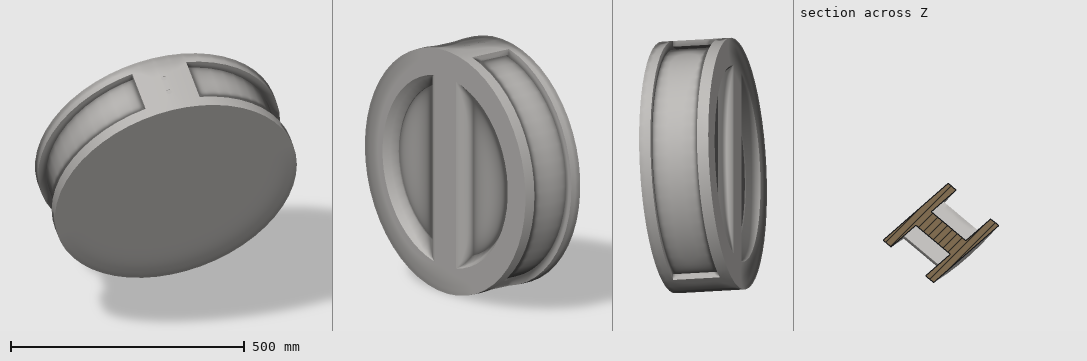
import cadquery as cq

body_diameter = 539.0
body_width = 152.0
front_x = -body_width / 2

flange_width = 25.0
groove_width = body_width - 2 * flange_width
neck_diameter = 502.5
bridge_length = 120.0
bridge_sink = 1.0
bridge_bottom = neck_diameter / 2 - bridge_sink

pocket_diameter = 420.5
pocket_floor_diameter = 375.5
pocket_depth = 29.0
pocket_step_height = 2.5
bar_top_width = 72.0
bar_base_width = 121.0
bar_flank_width = (bar_base_width - bar_top_width) / 2
bar_flank_radius = (bar_flank_width**2 + pocket_depth**2) / (2 * bar_flank_width)

pin_seat_diameter = 12.0
pin_seat_depth = 0.5
pin_seat_spacing = 40.0
pin_seat_middle_x = 5.0


def x_cylinder(diameter, length):
    """Cylinder along X, centred on the origin."""
    return cq.Workplane("YZ").circle(diameter / 2).extrude(length / 2, both=True)


def rim_groove():
    """Ring-shaped groove, interrupted above and below by the bridges."""
    ring = x_cylinder(body_diameter, groove_width).cut(x_cylinder(neck_diameter, groove_width))
    bridge_height = body_diameter / 2 - bridge_bottom
    for side in (1, -1):
        bridge_middle_z = side * (bridge_bottom + bridge_height / 2)
        bridge = cq.Workplane("XY").box(groove_width, bridge_length, bridge_height)
        ring = ring.cut(bridge.translate((0, 0, bridge_middle_z)))
    return ring


def face_pocket():
    """Tapered pocket with a short straight step at its floor, around the bar left standing in it."""
    floor_x = front_x + pocket_depth
    recess = (
        cq.Workplane("YZ", origin=(front_x, 0, 0))
        .circle(pocket_diameter / 2)
        .workplane(offset=pocket_depth - pocket_step_height)
        .circle(pocket_floor_diameter / 2)
        .loft()
        .faces(">X")
        .workplane()
        .circle(pocket_floor_diameter / 2)
        .extrude(pocket_step_height)
    )
    bar = (
        cq.Workplane("XY")
        .moveTo(floor_x, -bar_base_width / 2)
        .radiusArc((front_x, -bar_top_width / 2), bar_flank_radius)
        .lineTo(front_x, bar_top_width / 2)
        .radiusArc((floor_x, bar_base_width / 2), bar_flank_radius)
        .close()
        .extrude(body_diameter / 2, both=True)
    )
    return recess.cut(bar)


def pin_seats():
    """Two flat round seats just below the crown of the body."""
    return (
        cq.Workplane("XY", origin=(pin_seat_middle_x, 0, body_diameter / 2))
        .rarray(pin_seat_spacing, 5.5, 2, 1)
        .circle(pin_seat_diameter / 2)
        .extrude(-pin_seat_depth)
    )


result = x_cylinder(body_diameter, body_width).cut(rim_groove()).cut(face_pocket()).cut(pin_seats())